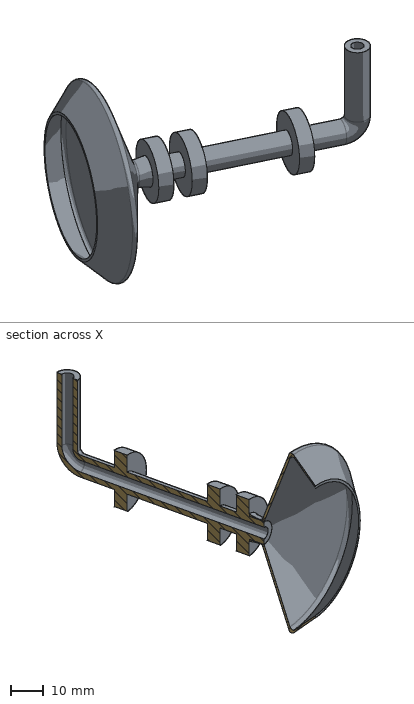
import cadquery as cq
import math

tube_radius = 4.0
bore_radius = tube_radius / 2
bend_radius = 5.0
tube_back_y = 97.5
leg_y = tube_back_y - tube_radius
leg_top_z = 30.2

flange_radius = 10.0
flange_thickness = 5.0
flange_front_y = [25.0, 35.9, 70.9]

cup_radius = 32.0
rim_y = 9.1
wall = 1.0
shoulder_radius = 31.4
shoulder_y = 10.0
skirt_top_radius = 31.7
skirt_top_y = 8.3
inner_shoulder_radius = 29.8
inner_skirt_top_radius = 30.6
inner_skirt_top_y = 8.2
lip_outer_radius = 23.4
lip_inner_radius = 22.5
cone_top_y = 20.1
cone_top_radius = 4.8

neck_top_radius = 5.0
neck_waist_radius = 4.4
neck_waist_y = 20.9
neck_bulge_radius = 4.53
neck_top_y = flange_front_y[0]

cone_slope = (cone_top_y - shoulder_y) / (cone_top_radius - shoulder_radius)
cone_drop = wall * math.hypot(1, cone_slope)
inner_shoulder_y = shoulder_y - cone_drop + cone_slope * (inner_shoulder_radius - shoulder_radius)
tube_front_y = inner_shoulder_y + cone_slope * (tube_radius - inner_shoulder_radius)


def revolve_about_y(profile):
    return profile.close().revolve(360, (0, 0, 0), (0, 1, 0))


def make_cup():
    """Hollow cup with a rounded rim, a waisted neck and a bore for the tube."""
    neck_middle_y = (neck_top_y + neck_waist_y) / 2
    profile = (
        cq.Workplane("XY")
        .moveTo(shoulder_radius, shoulder_y)
        .lineTo(cone_top_radius, cone_top_y)
        .tangentArcPoint((neck_waist_radius, neck_waist_y), relative=False)
        .threePointArc((neck_bulge_radius, neck_middle_y), (neck_top_radius, neck_top_y))
        .lineTo(tube_radius, neck_top_y)
        .lineTo(tube_radius, tube_front_y)
        .lineTo(inner_shoulder_radius, inner_shoulder_y)
        .tangentArcPoint((inner_skirt_top_radius, inner_skirt_top_y), relative=False)
        .lineTo(lip_inner_radius, 0)
        .lineTo(lip_outer_radius, 0)
        .lineTo(skirt_top_radius, skirt_top_y)
        .threePointArc((cup_radius, rim_y), (shoulder_radius, shoulder_y))
    )
    return revolve_about_y(profile)


def sweep_along_tube(radius):
    """Round bar along the bent centreline of the tube."""
    bend_start_y = leg_y - bend_radius
    bend_middle = bend_radius * math.sin(math.pi / 4)
    path = (
        cq.Workplane("YZ")
        .moveTo(tube_front_y, 0)
        .lineTo(bend_start_y, 0)
        .threePointArc((bend_start_y + bend_middle, bend_radius - bend_middle), (leg_y, bend_radius))
        .lineTo(leg_y, leg_top_z)
    )
    return cq.Workplane("XZ", origin=(0, tube_front_y, 0)).circle(radius).sweep(path)


def make_flange(front_y):
    return cq.Workplane("XZ", origin=(0, front_y, 0)).circle(flange_radius).extrude(-flange_thickness)


def make_tube():
    """Bent tube with its flanges and a through bore."""
    body = sweep_along_tube(tube_radius)
    for front_y in flange_front_y:
        body = body.union(make_flange(front_y))
    return body.cut(sweep_along_tube(bore_radius))


cup = make_cup()
tube = make_tube()

result = cq.Compound.makeCompound([cup.val(), *tube.vals()])